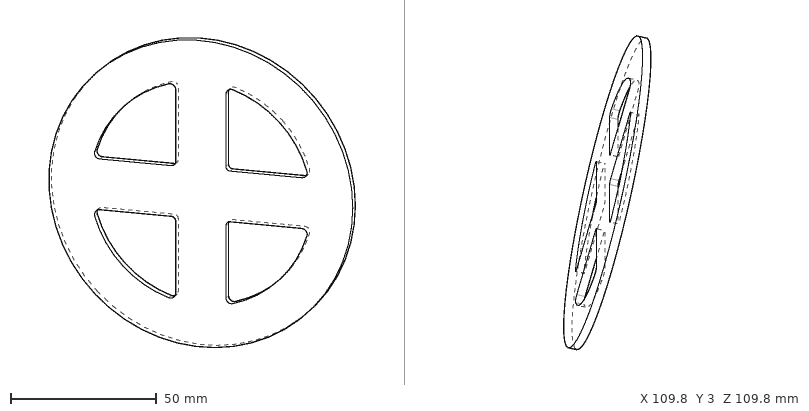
import cadquery as cq

disc_diameter = 109.8
disc_thickness = 3.0
window_diameter = 80.0
spoke_width = 18.2
hub_corner_radius = 1.5
rim_corner_radius = 1.9


def make_disc(diameter):
    """Flat disc in the XZ plane, centred on the origin with its thickness along Y."""
    back_face = cq.Workplane("XZ", origin=(0, disc_thickness / 2, 0))
    return back_face.circle(diameter / 2).extrude(disc_thickness)


def make_spokes():
    """Two crossed bars, one along X and one along Z, spanning the window circle."""
    bar_x = cq.Workplane("XY").box(window_diameter, disc_thickness, spoke_width)
    bar_z = cq.Workplane("XY").box(spoke_width, disc_thickness, window_diameter)
    return bar_x.union(bar_z)


def make_windows():
    """Four quarter-round windows left between the spokes, with rounded corners."""
    windows = make_disc(window_diameter).cut(make_spokes())
    corners = cq.selectors.ParallelDirSelector(cq.Vector(0, 1, 0))
    hub_zone = cq.selectors.BoxSelector(
        (-spoke_width, -disc_thickness, -spoke_width),
        (spoke_width, disc_thickness, spoke_width),
    )
    windows = windows.edges(corners - hub_zone).fillet(rim_corner_radius)
    return windows.edges(corners & hub_zone).fillet(hub_corner_radius)


result = make_disc(disc_diameter).cut(make_windows())